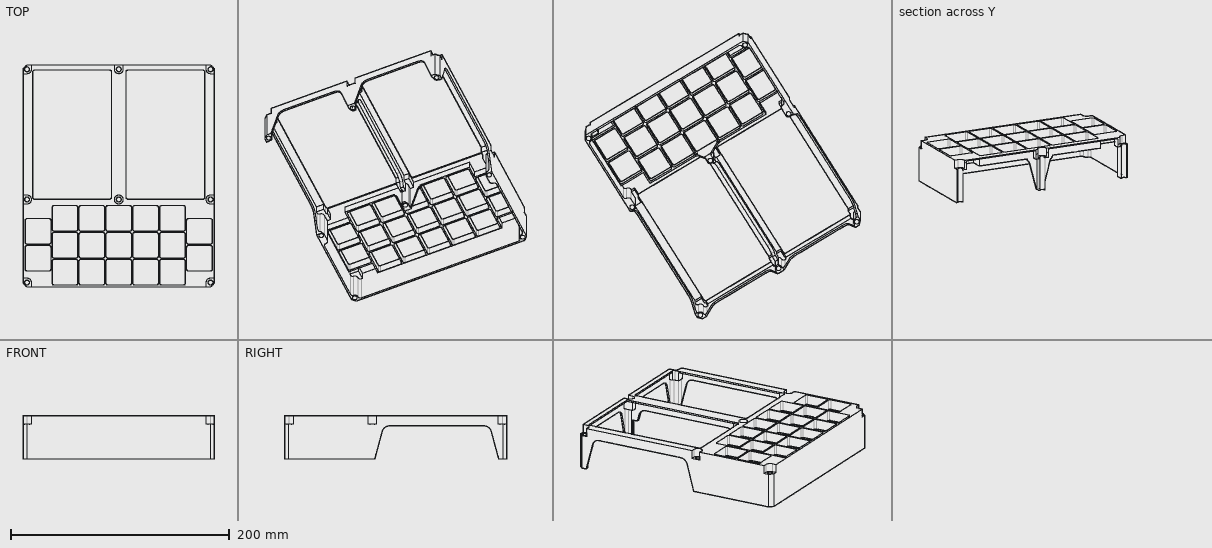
import cadquery as cq
import math

WIDTH = 175.2
LENGTH = 203.2
HEIGHT = 39.8
SIDE_X = WIDTH / 2
END_Y = LENGTH / 2
CORNER_CHAMFER = 3.5
WALL = 1.6
PLATE_THICKNESS = 1.5
PLATE_Z = HEIGHT - PLATE_THICKNESS
RIM_DEPTH = 9.3
RIM_Z = HEIGHT - RIM_DEPTH

WINDOW_WIDTH = 72.0
WINDOW_LENGTH = 117.9
WINDOW_X = 42.7
WINDOW_RADIUS = 1.6
REAR_BEAM = 4.9
WINDOW_Y = END_Y - REAR_BEAM - WINDOW_LENGTH / 2

KEY_SIZE = 23.2
KEY_WALL = 1.5
KEY_RADIUS = 1.5
KEY_PITCH = KEY_SIZE + KEY_WALL
LATTICE_SIZE = KEY_SIZE + 2 * KEY_WALL
GRID_COLUMNS = 5
GRID_ROWS = 3
GRID_Y = -63.5
SIDE_ROWS = 2
SIDE_KEYS_Y = -63.0
GRID_REAR_Y = GRID_Y + GRID_ROWS * KEY_PITCH / 2

SCREW_INSET_X = 3.7
SCREW_INSET_Y = 4.0
SCREW_X = SIDE_X - SCREW_INSET_X
SCREW_Y = END_Y - SCREW_INSET_Y
MIDDLE_SCREW_Y = -21.5
HOLE_DIAMETER = 4.3
HEAD_DIAMETER = 8.1
HEAD_DEPTH = 7.7
HEAD_WALL = 2.5
POST_DIAMETER = 6.0
POST_RADIUS = POST_DIAMETER / 2
SIDE_POST_STRETCH = 7.0

RIB_WIDTH = 3.0
RIB_Z = 18.7

LEG_FOOT = 7.5
MIDDLE_FOOT = 7.0
SIDE_ARCH_SPAN = 113.2
REAR_ARCH_SPAN = SIDE_X - LEG_FOOT - MIDDLE_FOOT / 2
ARCH_TAPER = 15.0
ARCH_RADIUS = 7.1

CORNER_SCREWS = [(x, y) for x in (-SCREW_X, SCREW_X) for y in (-SCREW_Y, SCREW_Y)]
SIDE_SCREWS = [(-SCREW_X, MIDDLE_SCREW_Y), (SCREW_X, MIDDLE_SCREW_Y)]
REAR_SCREW = (0, SCREW_Y)
CENTRE_SCREW = (0, MIDDLE_SCREW_Y)
SCREWS = CORNER_SCREWS + SIDE_SCREWS + [REAR_SCREW, CENTRE_SCREW]


def blocks(x_size, y_size, bottom, top, centres):
    """Equal blocks between two heights, one on each centre."""
    return (
        cq.Workplane("XY", origin=(0, 0, bottom))
        .pushPoints(centres)
        .box(x_size, y_size, top - bottom, centered=(True, True, False))
    )


def block_between(x_limits, y_limits, bottom, top):
    """One block given by its limits along X and Y."""
    centre = (sum(x_limits) / 2, sum(y_limits) / 2)
    x_size = abs(x_limits[1] - x_limits[0])
    y_size = abs(y_limits[1] - y_limits[0])
    return blocks(x_size, y_size, bottom, top, [centre])


def cylinders(diameter, bottom, top, centres):
    return (
        cq.Workplane("XY", origin=(0, 0, bottom))
        .pushPoints(centres)
        .circle(diameter / 2)
        .extrude(top - bottom)
    )


def key_column(x, rows, centre_y):
    """Centres of one column of key openings."""
    return [(x, centre_y + (row - (rows - 1) / 2) * KEY_PITCH) for row in range(rows)]


def key_centres():
    centres = []
    for column in range(GRID_COLUMNS):
        x = (column - (GRID_COLUMNS - 1) / 2) * KEY_PITCH
        centres += key_column(x, GRID_ROWS, GRID_Y)
    side_x = (GRID_COLUMNS + 1) / 2 * KEY_PITCH
    for x in (-side_x, side_x):
        centres += key_column(x, SIDE_ROWS, SIDE_KEYS_Y)
    return centres


def flare(centre, gap, angle):
    """Web from a post to its wall with a concave flare on both sides; at angle 0 the wall is at +Y."""
    reach = POST_RADIUS + gap
    arc_x = reach - gap * math.sqrt(0.5)
    arc_y = gap * math.sqrt(0.5)
    return (
        cq.Workplane("XY")
        .moveTo(-POST_RADIUS, 0)
        .lineTo(POST_RADIUS, 0)
        .threePointArc((arc_x, arc_y), (reach, gap))
        .lineTo(-reach, gap)
        .threePointArc((-arc_x, arc_y), (-POST_RADIUS, 0))
        .close()
        .extrude(PLATE_Z)
        .rotate((0, 0, 0), (0, 0, 1), angle)
        .translate((*centre, 0))
    )


def side_flare(centre):
    return flare(centre, SCREW_INSET_X - WALL, -90 if centre[0] > 0 else 90)


def end_flare(centre):
    return flare(centre, SCREW_INSET_Y - WALL, 0 if centre[1] > 0 else 180)


def arch(plane, centre, span, reach):
    """Tapered opening with rounded upper corners, from the floor up to the rim."""
    half_floor = span / 2
    half_top = half_floor - RIM_Z * math.tan(math.radians(ARCH_TAPER))
    outline = [
        (centre - half_floor, 0),
        (centre + half_floor, 0),
        (centre + half_top, RIM_Z),
        (centre - half_top, RIM_Z),
    ]
    upper_corners = "|X" if plane == "YZ" else "|Y"
    return (
        cq.Workplane(plane)
        .polyline(outline)
        .close()
        .extrude(reach, both=True)
        .faces(">Z")
        .edges(upper_corners)
        .fillet(ARCH_RADIUS)
    )


outer = blocks(WIDTH, LENGTH, 0, HEIGHT, [(0, 0)]).edges("|Z").chamfer(CORNER_CHAMFER)
body = outer.cut(blocks(WIDTH - 2 * WALL, LENGTH - 2 * WALL, 0, PLATE_Z, [(0, 0)]))

body = body.union(blocks(LATTICE_SIZE, LATTICE_SIZE, RIM_Z, HEIGHT, key_centres()))
body = body.union(blocks(LATTICE_SIZE, KEY_WALL, 0, PLATE_Z, [(0, GRID_REAR_Y)]))

rib_x = (-RIB_WIDTH / 2, RIB_WIDTH / 2)
body = body.union(block_between(rib_x, (GRID_REAR_Y, END_Y - WALL / 2), RIB_Z, PLATE_Z))
body = body.union(block_between(rib_x, (END_Y - LEG_FOOT, END_Y - WALL / 2), 0, PLATE_Z))

housing_size = HEAD_DIAMETER + 2 * HEAD_WALL
body = body.union(cylinders(POST_DIAMETER, 0, PLATE_Z, SCREWS))
body = body.union(blocks(housing_size, housing_size, RIM_Z, HEIGHT, SCREWS))
for screw in CORNER_SCREWS:
    body = body.union(side_flare(screw)).union(end_flare(screw))
body = body.union(end_flare(REAR_SCREW))

for x, y in SIDE_SCREWS:
    front = (x, y - SIDE_POST_STRETCH)
    inner_x = x - math.copysign(POST_RADIUS, x)
    wall_x = math.copysign(SIDE_X - WALL / 2, x)
    body = body.union(cylinders(POST_DIAMETER, 0, PLATE_Z, [front]))
    body = body.union(block_between((inner_x, wall_x), (front[1], y), 0, PLATE_Z))
    body = body.union(side_flare(front)).union(side_flare((x, y)))

centre_post_x = (-POST_RADIUS, POST_RADIUS)
body = body.union(block_between(centre_post_x, (GRID_REAR_Y, MIDDLE_SCREW_Y), 0, PLATE_Z))

body = body.intersect(outer)

body = body.cut(arch("YZ", END_Y - LEG_FOOT - SIDE_ARCH_SPAN / 2, SIDE_ARCH_SPAN, WIDTH))
behind_keys = block_between((-SIDE_X, SIDE_X), (GRID_REAR_Y - KEY_WALL, END_Y), 0, HEIGHT)
for side in (-1, 1):
    rear_arch = arch("XZ", side * (MIDDLE_FOOT + REAR_ARCH_SPAN) / 2, REAR_ARCH_SPAN, LENGTH)
    body = body.cut(rear_arch.intersect(behind_keys))

window_centres = [(-WINDOW_X, WINDOW_Y), (WINDOW_X, WINDOW_Y)]
windows = blocks(WINDOW_WIDTH, WINDOW_LENGTH, RIM_Z, HEIGHT, window_centres)
keys = blocks(KEY_SIZE, KEY_SIZE, RIM_Z, HEIGHT, key_centres())
body = body.cut(windows.edges("|Z").fillet(WINDOW_RADIUS))
body = body.cut(keys.edges("|Z").fillet(KEY_RADIUS))

head_z = HEIGHT - HEAD_DEPTH
head_radius = HEAD_DIAMETER / 2
body = body.cut(cylinders(HOLE_DIAMETER, 0, HEIGHT, SCREWS))
body = body.cut(cylinders(HEAD_DIAMETER, head_z, HEIGHT, SCREWS))
for x, y in CORNER_SCREWS + SIDE_SCREWS:
    outside_x = math.copysign(SIDE_X, x)
    body = body.cut(block_between((x, outside_x), (y - head_radius, y + head_radius), head_z, HEIGHT))
for x, y in CORNER_SCREWS + [REAR_SCREW]:
    outside_y = math.copysign(END_Y, y)
    body = body.cut(block_between((x - head_radius, x + head_radius), (y, outside_y), head_z, HEIGHT))

result = body